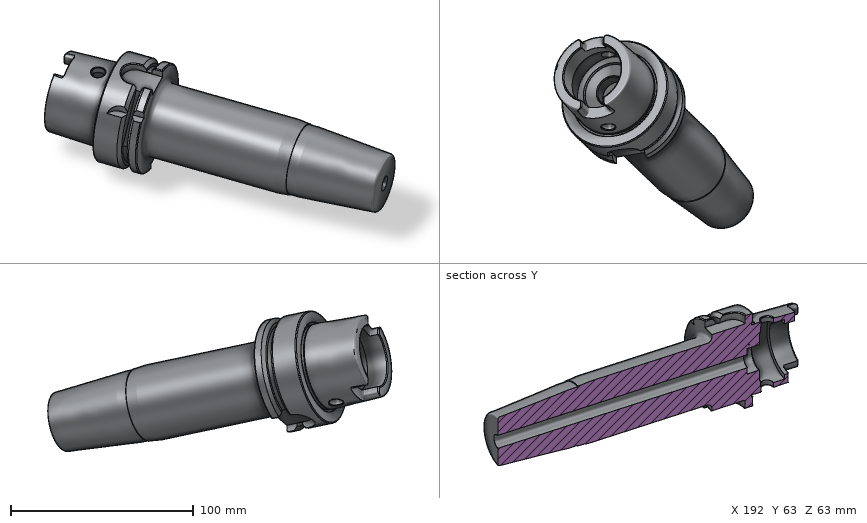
import cadquery as cq
import math


total_length = 192.0
shank_length = 32.0
nose_end = total_length - shank_length

shank_base_radius = 24.0
shank_tip_radius = 45.9 / 2
shank_land = 2.3
undercut_start = 1.3
undercut_slope_end = 0.8
undercut_radius = 23.8
face_recess_radius = 25.2
face_recess_depth = 0.8
shank_rim_fillet = 1.2

bore_radius = 34.0 / 2
bore_depth = 12.3
bore_chamfer = 0.5
groove_radius = 40.0 / 2
cavity_depth = 27.3
dish_radius = 16.5
dish_floor_radius = 31.3 / 2
dish_depth = 0.5
tube_hole_radius = 16.9 / 2
tube_hole_depth = 7.7
tube_hole_chamfer = 0.5
coolant_radius = 8.5 / 2

cross_hole_diameter = 7.5
cross_hole_chamfer = 0.48
cross_hole_x = -9.0
keyway_width = 12.5
keyway_round = 2.9
keyway_round_top = 21.1
keyway_floor_fillet = 1.2
keyway_mouth_chamfer = 0.8
top_keyway_depth = 6.0
bottom_keyway_depth = 9.8

flange_radius = 63.0 / 2
flange_width = 26.0
flange_edge_chamfer = 0.5
groove_floor_radius = 27.5
v_groove_start = 14.4
v_groove_floor_start = 16.3
v_groove_floor_end = 19.5
v_groove_end = 21.3
v_groove_wall_radius = 29.2

notch_start = 5.0
notch_floor = 26.0
top_notch_width = 15.0
bottom_notch_width = 19.0
notch_edge_chamfer = 0.5
side_notch_corner_y = -20.2
side_notch_corner_z = 20.0
side_notch_radius = 7.9
side_notch_tangent_x = 12.7

flat_low_edge_z = 1.5

body_radius = 42.0 / 2
body_root_fillet = 2.7
body_end = 102.7
step_x = 109.8
step_radius = 20.4
collar_radius = 40.0 / 2
collar_end = 115.5
nose_tip_radius = 33.2 / 2
nose_rim_fillet = 1.5

pick_margin = 0.2


def outer_body():
    """Solid of revolution with every outer diameter and the V groove."""
    profile = (
        cq.Workplane("XY")
        .moveTo(-shank_length, 0)
        .lineTo(-shank_length, shank_tip_radius)
        .lineTo(-shank_land, shank_base_radius)
        .lineTo(-undercut_start, shank_base_radius)
        .lineTo(-undercut_slope_end, undercut_radius)
        .lineTo(face_recess_depth, undercut_radius)
        .lineTo(face_recess_depth, face_recess_radius)
        .lineTo(0, face_recess_radius)
        .lineTo(0, flange_radius - flange_edge_chamfer)
        .lineTo(flange_edge_chamfer, flange_radius)
        .lineTo(v_groove_start, flange_radius)
        .lineTo(v_groove_floor_start, v_groove_wall_radius)
        .lineTo(v_groove_floor_start, groove_floor_radius)
        .lineTo(v_groove_floor_end, groove_floor_radius)
        .lineTo(v_groove_floor_end, v_groove_wall_radius)
        .lineTo(v_groove_end, flange_radius)
        .lineTo(flange_width - flange_edge_chamfer, flange_radius)
        .lineTo(flange_width, flange_radius - flange_edge_chamfer)
        .lineTo(flange_width, body_radius + body_root_fillet)
        .radiusArc((flange_width + body_root_fillet, body_radius), -body_root_fillet)
        .lineTo(body_end, body_radius)
        .lineTo(step_x, step_radius)
        .lineTo(step_x, collar_radius)
        .lineTo(collar_end, collar_radius)
        .lineTo(nose_end, nose_tip_radius)
        .lineTo(nose_end, 0)
        .close()
    )
    body = profile.revolve(360, (0, 0, 0), (1, 0, 0))
    body = body.faces("<X").edges().fillet(shank_rim_fillet)
    return body.faces(">X").edges().fillet(nose_rim_fillet)


def inner_cavity():
    """Clamping bore, undercut groove, tube hole and coolant passage."""
    bore_end = bore_depth - shank_length
    groove_end = cavity_depth - shank_length
    floor = groove_end + dish_depth
    return (
        cq.Workplane("XY")
        .moveTo(-shank_length, 0)
        .lineTo(-shank_length, bore_radius + bore_chamfer)
        .lineTo(bore_chamfer - shank_length, bore_radius)
        .lineTo(bore_end, bore_radius)
        .lineTo(bore_end, groove_radius)
        .lineTo(groove_end, groove_radius)
        .lineTo(groove_end, dish_radius)
        .lineTo(floor, dish_floor_radius)
        .lineTo(floor, tube_hole_radius + tube_hole_chamfer)
        .lineTo(floor + tube_hole_chamfer, tube_hole_radius)
        .lineTo(floor + tube_hole_depth, tube_hole_radius)
        .lineTo(floor + tube_hole_depth, coolant_radius)
        .lineTo(nose_end, coolant_radius)
        .lineTo(nose_end, 0)
        .close()
        .revolve(360, (0, 0, 0), (1, 0, 0))
    )


def keyway_profile(widening):
    """Keyway cross-section: parallel walls that flare out over rounded edges."""
    half = keyway_width / 2 + widening
    flare = keyway_width / 2 + keyway_round
    edge_radius = flare - half
    round_start = keyway_round_top - edge_radius
    outside = flange_radius
    return (
        cq.Workplane("YZ", origin=(-shank_length, 0, 0))
        .moveTo(-half, 0)
        .lineTo(half, 0)
        .lineTo(half, round_start)
        .radiusArc((flare, keyway_round_top), edge_radius)
        .lineTo(outside, keyway_round_top)
        .lineTo(outside, outside)
        .lineTo(-outside, outside)
        .lineTo(-outside, keyway_round_top)
        .lineTo(-flare, keyway_round_top)
        .radiusArc((-half, round_start), edge_radius)
        .close()
    )


def keyway_cutter(depth):
    """Keyway through the +Z wall, with a filleted floor and a chamfered mouth."""
    slot = keyway_profile(0).extrude(depth)
    slot = slot.faces(">X").edges("not(<Z or >Z)").fillet(keyway_floor_fillet)
    mouth = keyway_profile(keyway_mouth_chamfer).extrude(keyway_mouth_chamfer, taper=45)
    return slot.union(mouth)


def flip(shape):
    """Turn a +Z cutter round the part axis to the -Z side."""
    return shape.rotate((0, 0, 0), (1, 0, 0), 180)


def drive_notch(width):
    """Round-ended flat-floored notch through the +Z side of the flange."""
    notch_end = flange_width + width
    return (
        cq.Workplane("XY", origin=(0, 0, notch_floor))
        .center((notch_start + notch_end) / 2, 0)
        .slot2D(notch_end - notch_start, width)
        .extrude(flange_radius)
    )


def side_notch():
    """Corner notch with a level floor and a rounded end, on the -Y side."""
    reach = 2 * side_notch_radius
    return (
        cq.Workplane("XY", origin=(0, 0, side_notch_corner_z))
        .moveTo(flange_width, side_notch_corner_y)
        .lineTo(side_notch_tangent_x, side_notch_corner_y)
        .radiusArc((side_notch_tangent_x, side_notch_corner_y - reach), -side_notch_radius)
        .lineTo(flange_width, side_notch_corner_y - reach)
        .close()
        .extrude(flange_radius)
    )


def v_groove_flat():
    """Flat in the V-groove floor, from the -Y side up to the top notch."""
    outside = 2 * flange_radius
    return (
        cq.Workplane("YZ", origin=(v_groove_floor_start, 0, 0))
        .moveTo(-groove_floor_radius, flat_low_edge_z)
        .lineTo(-top_notch_width / 2, notch_floor)
        .lineTo(-top_notch_width / 2, outside)
        .lineTo(-outside, outside)
        .lineTo(-outside, flat_low_edge_z)
        .close()
        .extrude(v_groove_floor_end - v_groove_floor_start)
    )


def cross_hole():
    """Radial hole through both walls of the shank."""
    return (
        cq.Workplane("XY", origin=(cross_hole_x, 0, -flange_radius))
        .circle(cross_hole_diameter / 2)
        .extrude(2 * flange_radius)
    )


def chamfer_edges_inside(part, low_corner, high_corner, size):
    """Chamfer every edge that lies wholly inside a box."""
    box = cq.selectors.BoxSelector(low_corner, high_corner, boundingbox=True)
    return part.edges(box).chamfer(size)


def chamfer_cross_hole(part):
    """Chamfer the outer rims of the cross hole on both walls."""
    reach = cross_hole_diameter / 2 + pick_margin
    for low_z, high_z in ((groove_radius, flange_radius), (-flange_radius, -groove_radius)):
        low_corner = (cross_hole_x - reach, -reach, low_z + pick_margin)
        high_corner = (cross_hole_x + reach, reach, high_z - pick_margin)
        part = chamfer_edges_inside(part, low_corner, high_corner, cross_hole_chamfer)
    return part


def chamfer_top_notch(part):
    """Chamfer the top notch where its wall meets the flange cylinder."""
    half = top_notch_width / 2
    edge_height = math.sqrt(flange_radius**2 - half**2)
    reach = half + pick_margin
    low_corner = (notch_start - pick_margin, -reach, edge_height - pick_margin)
    high_corner = (flange_width - flange_edge_chamfer + pick_margin, reach, flange_radius + pick_margin)
    return chamfer_edges_inside(part, low_corner, high_corner, notch_edge_chamfer)


result = outer_body().cut(inner_cavity())
result = result.cut(keyway_cutter(top_keyway_depth)).cut(flip(keyway_cutter(bottom_keyway_depth)))
result = result.cut(cross_hole())
result = result.cut(drive_notch(top_notch_width)).cut(flip(drive_notch(bottom_notch_width)))
result = chamfer_cross_hole(result)
result = chamfer_top_notch(result)
result = result.cut(side_notch()).cut(v_groove_flat())